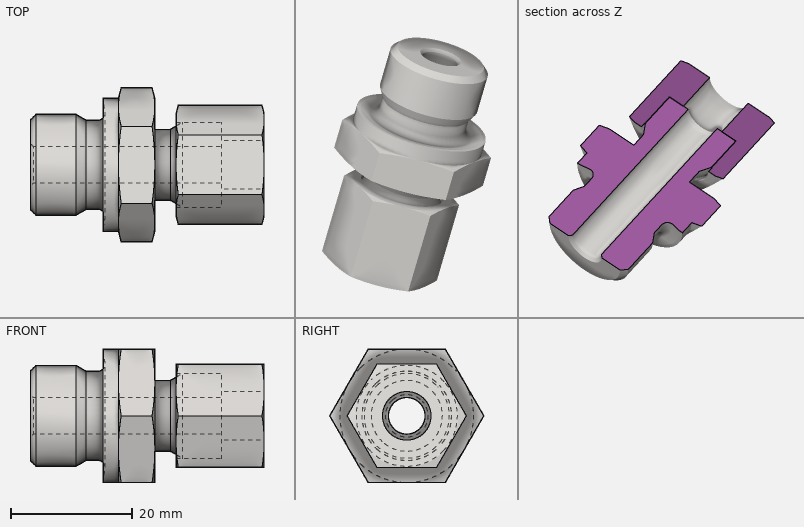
import cadquery as cq
import math


stud_radius = 16.66 / 2
stud_chamfer = 0.95
bore_radius = 6.0 / 2
bore_chamfer = 0.5
undercut_radius = 14.7 / 2
undercut_start = 9.2
undercut_fillet_start = 11.1
runout_angle = math.radians(30)

flange_face = 12.0
flange_radius = 22.0 / 2
sealing_edge_radius = 20.8 / 2
hollow_inner_radius = 17.3 / 2
hollow_depth = 0.3

hex_chamfer_angle = math.radians(15)
body_hex_width = 22.0
body_hex_start = 14.5
body_hex_end = 20.5
nut_hex_width = 17.0
nut_start = 24.0
nut_end = 38.5

neck_radius = 11.7 / 2
neck_end = 23.05
union_thread_radius = 14.0 / 2
union_thread_end = 31.5
tube_hole_radius = 8.0 / 2


def runout_length(small_radius, large_radius):
    """Length along X of a thread run-out cone between two radii."""
    return (large_radius - small_radius) / math.tan(runout_angle)


def revolve_about_x(profile):
    """Turn a closed profile of (X, radius) points about the X axis."""
    return profile.close().revolve(360, (0, 0, 0), (1, 0, 0))


def cylinder(start, end, radius):
    """Round bar along X."""
    return cq.Workplane("YZ", origin=(start, 0, 0)).circle(radius).extrude(end - start)


def chamfered_hexagon(start, end, width):
    """Hexagonal prism along X, corners on the Y axis, both ends turned to a cone."""
    corner_radius = width / 2 / math.cos(math.radians(30))
    cone_length = (corner_radius - width / 2) * math.tan(hex_chamfer_angle)
    prism = cq.Workplane("YZ", origin=(start, 0, 0)).polygon(6, 2 * corner_radius).extrude(end - start)
    envelope = revolve_about_x(
        cq.Workplane("XY")
        .moveTo(start, 0)
        .lineTo(start, width / 2)
        .lineTo(start + cone_length, corner_radius)
        .lineTo(end - cone_length, corner_radius)
        .lineTo(end, width / 2)
        .lineTo(end, 0)
    )
    return prism.intersect(envelope)


def stud_and_flange():
    """Threaded stud, undercut and flange; an arc joins the undercut to the hollow face."""
    hollow_bottom = flange_face + hollow_depth
    arc_run = hollow_bottom - undercut_fillet_start
    arc_rise = hollow_inner_radius - undercut_radius
    arc_radius = (arc_run**2 + arc_rise**2) / (2 * arc_rise)
    half_sweep = math.atan2(arc_rise, arc_run)
    arc_middle = (
        undercut_fillet_start + arc_radius * math.sin(half_sweep),
        undercut_radius + arc_radius * (1 - math.cos(half_sweep)),
    )
    return revolve_about_x(
        cq.Workplane("XY")
        .lineTo(0, stud_radius - stud_chamfer)
        .lineTo(stud_chamfer, stud_radius)
        .lineTo(undercut_start - runout_length(undercut_radius, stud_radius), stud_radius)
        .lineTo(undercut_start, undercut_radius)
        .lineTo(undercut_fillet_start, undercut_radius)
        .threePointArc(arc_middle, (hollow_bottom, hollow_inner_radius))
        .lineTo(flange_face, sealing_edge_radius)
        .lineTo(flange_face, flange_radius)
        .lineTo(body_hex_start, flange_radius)
        .lineTo(body_hex_start, 0)
    )


def tube_end():
    """Neck behind the hexagon, widening by a cone to the union thread."""
    thread_start = neck_end + runout_length(neck_radius, union_thread_radius)
    return revolve_about_x(
        cq.Workplane("XY")
        .moveTo(body_hex_end, 0)
        .lineTo(body_hex_end, neck_radius)
        .lineTo(neck_end, neck_radius)
        .lineTo(thread_start, union_thread_radius)
        .lineTo(union_thread_end, union_thread_radius)
        .lineTo(union_thread_end, 0)
    )


def through_bore():
    """Bore along the whole body, chamfered at the stud's front face."""
    return revolve_about_x(
        cq.Workplane("XY")
        .lineTo(0, bore_radius + bore_chamfer)
        .lineTo(bore_chamfer, bore_radius)
        .lineTo(union_thread_end, bore_radius)
        .lineTo(union_thread_end, 0)
    )


def make_body():
    """Stud body: stud, flange, hexagon and tube end on one through bore."""
    body_hexagon = chamfered_hexagon(body_hex_start, body_hex_end, body_hex_width)
    return stud_and_flange().union(body_hexagon).union(tube_end()).cut(through_bore())


def make_union_nut():
    """Hexagonal nut bored for the union thread, with a tube hole through its far end."""
    thread_hole = cylinder(nut_start, union_thread_end, union_thread_radius)
    tube_hole = cylinder(union_thread_end, nut_end, tube_hole_radius)
    return chamfered_hexagon(nut_start, nut_end, nut_hex_width).cut(thread_hole).cut(tube_hole)


body = make_body()
union_nut = make_union_nut()

result = cq.Compound.makeCompound([body.val(), union_nut.val()])